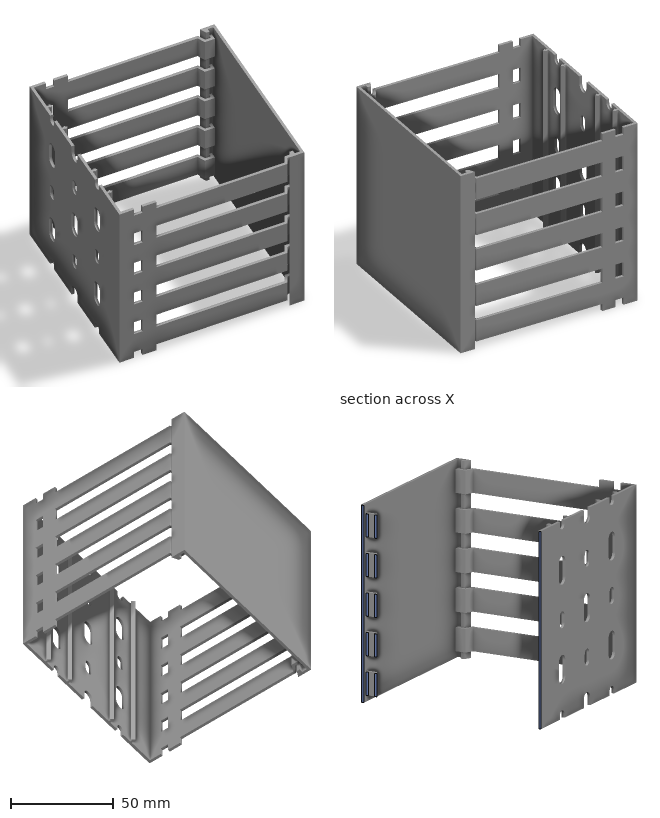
import cadquery as cq
import math


width = 100.0
depth = 100.0
length = 100.0
wall = 1.5

half_width = width / 2
front = -depth / 2
rear = depth / 2
bottom = -length / 2
inner_front = front + wall

clearance = 0.45
slope = 0.5
cover_side = 8.0
slant_gap = 1.0
lip_gap = 1.0
lip_overlap = 2.0

finger_pitch = 20.0
finger_gap = 8.0
gap_count = round(length / finger_pitch) + 1
window_start = 8.0
window_end = 12.5
finger_start = 20.0

slot_pitch = 25.0
slot_columns = range(-1, 2)
slot_rows = range(-2, 3)
large_slot = (6.5, 14.5)
small_slot = (4.5, 8.5)

rib_positions = (16.5, 33.4)
rib_stem_width = 1.2
rib_head_width = 2.6
rib_barb_height = 1.2
rib_height = 2.8

lip_rear = wall + lip_gap
lip_front = lip_rear + wall
lip_tip = wall + clearance
hook_rear = lip_front + clearance
neck_outer = lip_tip + lip_overlap
neck_inner = neck_outer + wall
hook_tip = neck_outer - clearance
slant_outer = cover_side + slant_gap
slant_inner = slant_outer + wall * math.hypot(1, slope)


def joint_point(side, inset, setback):
    """Point given by its inset from a side face and its setback from the rear face."""
    return (side * (half_width - inset), rear - setback)


def extrude_outline(points):
    """Prism of a closed XY outline over the full length."""
    return cq.Workplane("XY").workplane(offset=bottom).polyline(points).close().extrude(length)


def side_outline(side, joint):
    return [joint_point(side, inset, setback) for inset, setback in joint]


def mirrored_outline(joint):
    """Closed symmetric outline: the joint profile on the left, then back along the right."""
    return side_outline(-1, joint) + side_outline(1, joint)[::-1]


def make_duct_profile():
    side_profile = [
        (0, depth),
        (0, slant_outer),
        (neck_outer, slant_outer - neck_outer * slope),
        (neck_outer, lip_front),
        (lip_tip, lip_front),
        (lip_tip, lip_rear),
        (neck_inner, lip_rear),
        (neck_inner, slant_inner - neck_inner * slope),
        (wall, slant_inner - wall * slope),
        (wall, depth - wall),
    ]
    return extrude_outline(mirrored_outline(side_profile))


def make_rib(x):
    stem = rib_stem_width / 2
    head = rib_head_width / 2
    root = front + wall / 2
    barb = inner_front + rib_barb_height
    return extrude_outline([
        (x - stem, root),
        (x - stem, barb),
        (x - head, barb),
        (x, inner_front + rib_height),
        (x + head, barb),
        (x + stem, barb),
        (x + stem, root),
    ])


def make_side_openings():
    """Finger gaps and windows, cut through both side walls at every pitch."""
    openings = cq.Workplane("XY")
    for start, end in ((window_start, window_end), (finger_start, depth)):
        for index in range(gap_count):
            opening = cq.Workplane("XY").box(width, end - start, finger_gap).translate(
                (0, front + (start + end) / 2, bottom + index * finger_pitch)
            )
            openings = openings.add(opening)
    return openings.combine()


def make_base_slots():
    """Upright slots through the base plate, large and small alternating."""
    slots = cq.Workplane("XY")
    for column in slot_columns:
        for row in slot_rows:
            slot_width, slot_length = large_slot if (column + row) % 2 == 0 else small_slot
            slot = (
                cq.Workplane("XZ", origin=(0, inner_front, 0))
                .center(column * slot_pitch, row * slot_pitch)
                .slot2D(slot_length, slot_width, 90)
                .extrude(wall)
            )
            slots = slots.add(slot)
    return slots.combine()


def make_duct():
    duct = make_duct_profile()
    for side in (-1, 1):
        for x in rib_positions:
            duct = duct.union(make_rib(side * x))
    return duct.cut(make_side_openings()).cut(make_base_slots())


def make_cover():
    side_profile = [
        (0, 0),
        (0, cover_side),
        (hook_tip, cover_side - hook_tip * slope),
        (hook_tip, hook_rear),
        (wall, hook_rear),
        (wall, wall),
    ]
    return extrude_outline(mirrored_outline(side_profile))


duct = make_duct()
cover = make_cover()
result = cq.Compound.makeCompound([duct.val(), cover.val()])